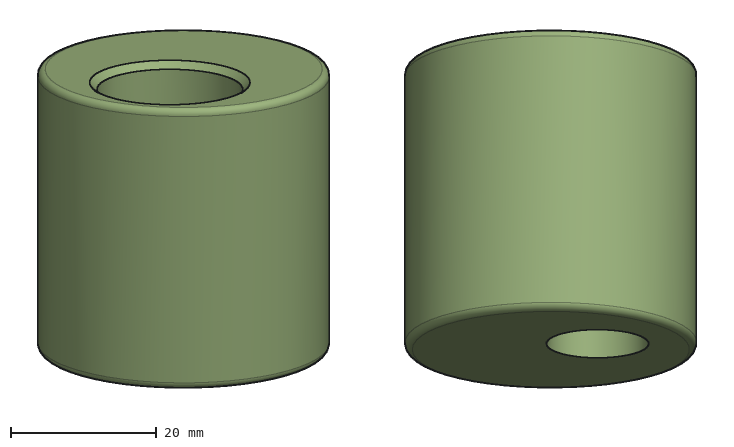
import cadquery as cq

body_diameter = 40.0
body_height = 40.0
edge_radius = 1.0

hole_offset = 7.0
through_diameter = 14.0
counterbore_diameter = 20.0
counterbore_depth = 13.0
mouth_chamfer = 1.0


def make_body():
    """Upright cylinder with both rims rounded."""
    body = cq.Workplane("XY").circle(body_diameter / 2).extrude(body_height)
    return body.edges().fillet(edge_radius)


def make_stepped_hole():
    """Cutter for the through hole, its counterbore and the chamfered mouth."""
    through_radius = through_diameter / 2
    counterbore_radius = counterbore_diameter / 2
    mouth_radius = counterbore_radius + mouth_chamfer
    floor_z = body_height - counterbore_depth
    half_profile = (
        cq.Workplane("XZ")
        .moveTo(0, 0)
        .lineTo(through_radius, 0)
        .lineTo(through_radius, floor_z)
        .lineTo(counterbore_radius, floor_z)
        .lineTo(counterbore_radius, body_height - mouth_chamfer)
        .lineTo(mouth_radius, body_height)
        .lineTo(0, body_height)
        .close()
    )
    cutter = half_profile.revolve(360, (0, 0, 0), (0, 1, 0))
    return cutter.translate((0, -hole_offset, 0))


result = make_body().cut(make_stepped_hole())